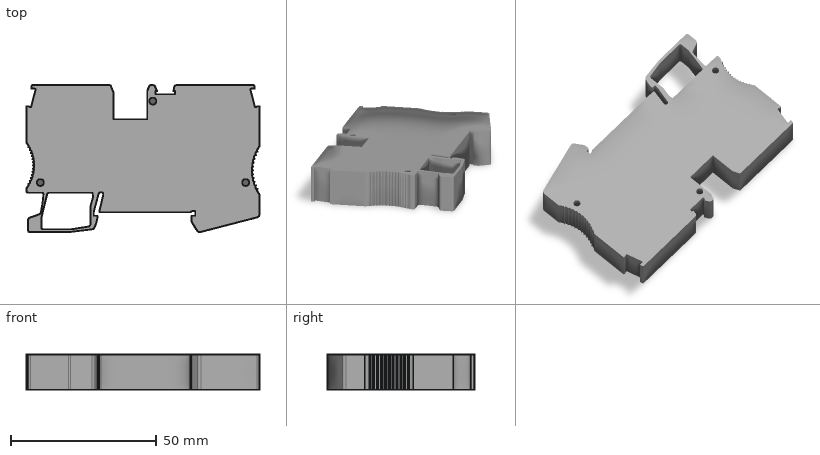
import cadquery as cq
import math

LENGTH = 80.2
HEIGHT = 50.6
THICKNESS = 12.2

SHELF_Y = 43.3
SHELF_DIP_Y = 43.1
LIP_Y = 49.3
WELL_Y = 38.9
GROOVE_Y = 47.5
GROOVE_LIP_Y = 48.5
BODY_Y = 13.55
RAIL_Y = 6.8
HOOK_Y = 5.7

WELL_LEFT = 30.0
WELL_RIGHT = 41.55
GROOVE_LEFT = 44.4
GROOVE_RIGHT = 51.1
BARB = 0.6

HOOK_TIP_X = 56.7
HOOK_ROOT_X = 58.0

FOOT_LEFT = 0.6
LATCH_X = 23.2
WINDOW_LEFT = 5.2
WINDOW_RIGHT = 22.0
WINDOW_BOTTOM = 1.05

LEFT_SCALLOP_Y = 22.9
LEFT_SCALLOP_HALF_WIDTH = 7.85
LEFT_SCALLOP_DEPTH = 2.65
RIGHT_SCALLOP_Y = 21.25
RIGHT_SCALLOP_HALF_WIDTH = 8.35
RIGHT_SCALLOP_DEPTH = 2.65
LEFT_SCALLOP_EDGE_RADIUS = 0.8
LEFT_RIDGES = 13
RIGHT_RIDGES = 11
LEFT_RIDGE_SPACING = 1.1
RIGHT_RIDGE_SPACING = 1.4
RIDGE_WIDTH = 0.6
RIDGE_HEIGHT = 0.4
RIDGE_ROOT = 0.2

HOLE_DIAMETER = 2.4
HOLE_DEPTH = 4.0
HOLE_CENTRES = [(43.5, 45.1), (4.8, 17.1), (75.4, 17.1)]


def rounded_prism(corners):
    """Extrude a closed outline of (x, y, corner radius) over the full thickness."""
    stretches = []
    for i, (x, y, radius) in enumerate(corners):
        corner = cq.Vector(x, y)
        to_last = (cq.Vector(*corners[i - 1][:2]) - corner).normalized()
        to_next = (cq.Vector(*corners[(i + 1) % len(corners)][:2]) - corner).normalized()
        if radius == 0:
            stretches.append([corner])
            continue
        half_angle = to_last.getAngle(to_next) / 2
        trim = radius / math.tan(half_angle)
        apex = radius / math.sin(half_angle) - radius
        middle = corner + (to_last + to_next).normalized() * apex
        stretches.append([corner + to_last * trim, middle, corner + to_next * trim])

    outline = cq.Workplane("XY").moveTo(*stretches[0][-1].toTuple()[:2])
    for stretch in stretches[1:] + stretches[:1]:
        outline = outline.lineTo(*stretch[0].toTuple()[:2])
        if len(stretch) > 1:
            outline = outline.threePointArc(stretch[1].toTuple()[:2], stretch[2].toTuple()[:2])
    return outline.close().extrude(THICKNESS)


def marker_lip():
    """Corners of the upper left lip, from the side shelf up to the top edge."""
    return [
        (0, SHELF_Y, 0),
        (0.9, SHELF_Y, 0),
        (1.05, SHELF_DIP_Y, 0),
        (1.6, SHELF_DIP_Y, 0.25),
        (3.2, LIP_Y, 0.3),
        (1.6, LIP_Y, 0.2),
        (1.85, HEIGHT, 0.5),
    ]


def top_notches():
    """Corners of the top edge, from left to right."""
    return [
        (28.95, HEIGHT, 0.6),
        (WELL_LEFT, 48.0, 0),
        (WELL_LEFT, WELL_Y, 0),
        (WELL_RIGHT, WELL_Y, 0),
        (WELL_RIGHT, 48.6, 0),
        (42.35, HEIGHT, 0.65),
        (44.0, HEIGHT, 0.9),
        (GROOVE_LEFT + BARB, GROOVE_LIP_Y, 0),
        (GROOVE_LEFT, GROOVE_LIP_Y, 0),
        (GROOVE_LEFT, GROOVE_Y, 0),
        (GROOVE_RIGHT, GROOVE_Y, 0),
        (GROOVE_RIGHT, GROOVE_LIP_Y, 0),
        (GROOVE_RIGHT - BARB, GROOVE_LIP_Y, 0),
        (50.9, HEIGHT, 1.0),
    ]


def fixed_foot():
    """Corners of the right foot, from the right end to the rail face."""
    return [
        (LENGTH, 5.3, 1.3),
        (59.1, -0.2, 1.1),
        (HOOK_TIP_X, 3.7, 1.3),
        (HOOK_TIP_X, HOOK_Y, 0.5),
        (HOOK_ROOT_X, HOOK_Y, 0),
        (HOOK_ROOT_X, 7.45, 0.3),
        (56.6, 7.05, 0),
        (56.4, RAIL_Y, 0),
    ]


def spring_foot():
    """Corners of the left foot, from the rail face to the left end."""
    return [
        (24.95, RAIL_Y, 0.5),
        (26.6, 13.7, 0.7),
        (25.0, 13.7, 0.7),
        (LATCH_X, 6.9, 0.5),
        (LATCH_X, HOOK_Y, 0),
        (24.6, HOOK_Y, 0.4),
        (24.15, 3.4, 2.4),
        (23.25, 1.05, 1.3),
        (14.75, 0, 5.6),
        (FOOT_LEFT, 0, 0.7),
        (FOOT_LEFT, 4.8, 1.0),
        (4.8, 6.3, 0.4),
        (5.6, 9.95, 37.7),
        (5.85, BODY_Y, 0.5),
        (0, BODY_Y, 0.65),
    ]


def foot_window():
    """Opening that leaves the spring foot hanging on two thin legs."""
    return rounded_prism([
        (WINDOW_LEFT, WINDOW_BOTTOM, 0.5),
        (15.4, WINDOW_BOTTOM, 0),
        (WINDOW_RIGHT, 2.1, 0.7),
        (WINDOW_RIGHT, 8.7, 0),
        (22.85, 12.1, 0.7),
        (22.8, BODY_Y, 0.5),
        (7.3, BODY_Y, 0.65),
        (6.2, 9.0, 0),
        (WINDOW_LEFT, 4.8, 0),
    ])


def ridged_scallop(end_x, inward, centre_y, half_width, depth, ridges, spacing):
    """Cutter for one finger scallop; inward is +1 or -1 along X, towards the body."""
    radius = (half_width**2 + depth**2) / (2 * depth)
    centre_x = end_x + inward * (depth - radius)
    cutter = cq.Workplane("XY").circle(radius).extrude(THICKNESS)
    ridge = (
        cq.Workplane("XY")
        .moveTo(inward * (radius + RIDGE_ROOT), -RIDGE_WIDTH / 2)
        .lineTo(inward * (radius + RIDGE_ROOT), RIDGE_WIDTH / 2)
        .lineTo(inward * radius, RIDGE_WIDTH / 2)
        .lineTo(inward * (radius - RIDGE_HEIGHT), 0)
        .lineTo(inward * radius, -RIDGE_WIDTH / 2)
        .close()
        .extrude(THICKNESS)
    )
    step = math.degrees(spacing / radius)
    for i in range(ridges):
        angle = (i - (ridges - 1) / 2) * step
        cutter = cutter.cut(ridge.rotate((0, 0, 0), (0, 0, 1), angle))
    return cutter.translate((centre_x, centre_y, 0))


left_lip = marker_lip()
right_lip = [(LENGTH - x, y, radius) for x, y, radius in reversed(left_lip)]
housing = rounded_prism(left_lip + top_notches() + right_lip + fixed_foot() + spring_foot())

housing = housing.cut(foot_window())
left_scallop = ridged_scallop(
    0, 1, LEFT_SCALLOP_Y, LEFT_SCALLOP_HALF_WIDTH, LEFT_SCALLOP_DEPTH,
    LEFT_RIDGES, LEFT_RIDGE_SPACING,
)
right_scallop = ridged_scallop(
    LENGTH, -1, RIGHT_SCALLOP_Y, RIGHT_SCALLOP_HALF_WIDTH, RIGHT_SCALLOP_DEPTH,
    RIGHT_RIDGES, RIGHT_RIDGE_SPACING,
)
housing = housing.cut(left_scallop).cut(right_scallop)

for side in (-1, 1):
    edge_y = LEFT_SCALLOP_Y + side * LEFT_SCALLOP_HALF_WIDTH
    edge = cq.selectors.NearestToPointSelector((0, edge_y, THICKNESS / 2))
    housing = housing.edges("|Z").edges(edge).fillet(LEFT_SCALLOP_EDGE_RADIUS)

holes = (
    cq.Workplane("XY")
    .workplane(offset=THICKNESS - HOLE_DEPTH)
    .pushPoints(HOLE_CENTRES)
    .circle(HOLE_DIAMETER / 2)
    .extrude(HOLE_DEPTH)
)
result = housing.cut(holes)